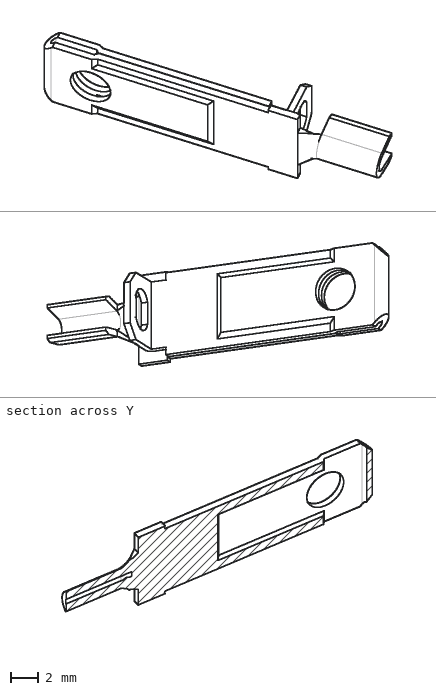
import cadquery as cq
import math

length = 26.67
body_half_width = 3.17
fold_thickness = 1.52
overall_depth = 5.0
sheet = 0.5
flat_half = 0.55
leaf_face = 0.013
fold_radius = fold_thickness / 2
gap_half = fold_radius - sheet
fold_chamfer = 0.9

nose_end = 4.03
pad_end = 13.68
pad_half_width = 5.05 / 2
pad_slope = 0.4
inner_slope = 0.25
cavity_inset = 0.21
hole_diameter = 3.2
hole_x = 3.95

shoulder_start = 18.03
front_leaf_end = 20.38
shoulder_half_width = 6.85 / 2

rear_body_end = 17.87
tab_outer_x = 19.58
tab_top = overall_depth - fold_radius
tab_half_width = 5.2 / 2
tab_chamfer = 1.01
tab_bend_radius = 0.5
slot_bottom = 1.2
slot_width = 2.0
slot_straight_half = 0.85
slot_half_length = 1.57

barrel_start = 21.87
barrel_top = 2.48
barrel_radius = 1.25
wall_lean = math.radians(9.5)
lip_chamfer_height = 0.5
lip_chamfer_depth = 0.173
neck_half_width = 1.87

barrel_inner_radius = barrel_radius - sheet
barrel_axis_y = barrel_radius - flat_half


def box(x_range, y_range, half_width):
    """Box between two X and two Y positions, centred on z = 0."""
    (x0, x1), (y0, y1) = x_range, y_range
    return cq.Workplane("XY").box(x1 - x0, y1 - y0, 2 * half_width).translate(
        ((x0 + x1) / 2, (y0 + y1) / 2, 0)
    )


def frustum(start, end, half_width, base_y, height, slope):
    """Raised block on +Y whose far end and sides slope in by `slope`; its start is upright."""

    def level(y, inset):
        x1, z1 = end - inset, half_width - inset
        corners = [(start, y, -z1), (x1, y, -z1), (x1, y, z1), (start, y, z1)]
        return cq.Wire.makePolygon([cq.Vector(*c) for c in corners], close=True)

    loft = cq.Solid.makeLoft([level(base_y, 0), level(base_y + height, slope)], True)
    return cq.Workplane(obj=loft)


def both_sides(shape):
    """The shape together with its mirror image across the fold plane."""
    return shape.union(shape.mirror("XZ"))


def nose_profile(half_height, foot_half_height, slope_start, slope_run):
    """Strip with one rounded end at the fold, tapering at the other end."""
    left = fold_radius - half_height
    slope_end = slope_start + slope_run
    return (
        cq.Workplane("XY")
        .moveTo(fold_radius, half_height)
        .threePointArc((left, 0), (fold_radius, -half_height))
        .lineTo(slope_start, -half_height)
        .lineTo(slope_end, -foot_half_height)
        .lineTo(slope_end, foot_half_height)
        .lineTo(slope_start, half_height)
        .close()
        .extrude(body_half_width, both=True)
    )


def folded_body():
    """Two leaves joined by the fold, with raised nose and pads, inner gap and hole."""
    leaves = box((fold_radius, rear_body_end), (-flat_half, flat_half), body_half_width)
    nose = nose_profile(fold_radius, flat_half, nose_end, pad_slope)
    pad = frustum(nose_end, pad_end, pad_half_width, flat_half, fold_radius - flat_half, pad_slope)
    body = leaves.union(nose).union(both_sides(pad))
    body = body.cut(fold_corners())

    body = body.cut(nose_profile(gap_half, leaf_face, nose_end, inner_slope))
    body = body.cut(box((nose_end, rear_body_end), (-leaf_face, leaf_face), body_half_width))
    cavity = frustum(
        nose_end, pad_end - cavity_inset, pad_half_width - cavity_inset, 0, gap_half, inner_slope
    )
    body = body.cut(both_sides(cavity))

    hole = (
        cq.Workplane("XZ").center(hole_x, 0).circle(hole_diameter / 2).extrude(fold_radius, both=True)
    )
    return body.cut(hole)


def fold_corners():
    """Triangular wedges that bevel the two corners of the fold end."""
    corner = (
        cq.Workplane("XZ")
        .moveTo(0, body_half_width)
        .lineTo(fold_chamfer, body_half_width)
        .lineTo(0, body_half_width - fold_chamfer)
        .close()
        .extrude(fold_radius, both=True)
    )
    return corner.union(corner.mirror("XY"))


def front_leaf():
    """Plain end of the front leaf with its wider shoulders."""
    leaf = box((rear_body_end, shoulder_start), (-flat_half, -leaf_face), body_half_width)
    shoulder = box((shoulder_start, front_leaf_end), (-flat_half, -leaf_face), shoulder_half_width)
    return leaf.union(shoulder)


def upright_tab():
    """Rear leaf narrowed and bent up square, with bevelled corners and a slot."""
    tab_inner_x = tab_outer_x - sheet
    foot = box((rear_body_end, tab_outer_x), (leaf_face, flat_half), tab_half_width)
    leg = box((tab_inner_x, tab_outer_x), (leaf_face, tab_top), tab_half_width)
    tab = (
        foot.union(leg)
        .edges("|Z and >X and <Y").fillet(tab_bend_radius)
        .edges("|X and >Y").chamfer(tab_chamfer)
    )
    slot_middle = slot_bottom + slot_width / 2
    slot_top = slot_bottom + slot_width
    slot = (
        cq.Workplane("YZ", origin=(tab_inner_x, 0, 0))
        .moveTo(slot_bottom, -slot_straight_half)
        .lineTo(slot_bottom, slot_straight_half)
        .threePointArc((slot_middle, slot_half_length), (slot_top, slot_straight_half))
        .lineTo(slot_top, -slot_straight_half)
        .threePointArc((slot_middle, -slot_half_length), (slot_bottom, -slot_straight_half))
        .close()
        .extrude(sheet)
    )
    return tab.cut(slot)


def wall_foot(radius):
    """(y, z) where an arc of the barrel runs into its leaning wall."""
    return barrel_axis_y - radius * math.sin(wall_lean), radius * math.cos(wall_lean)


def wall_z(radius, y):
    """Half width of the leaning wall at height y."""
    foot_y, foot_z = wall_foot(radius)
    return foot_z + (y - foot_y) * math.tan(wall_lean)


def barrel():
    """Open U-shaped crimp barrel with bevelled lips."""
    outer_y, outer_z = wall_foot(barrel_radius)
    inner_y, inner_z = wall_foot(barrel_inner_radius)
    lip_y = barrel_top - lip_chamfer_height
    lip_z = wall_z(barrel_radius, lip_y)
    tip_z = lip_z - lip_chamfer_depth
    tip_inner_z = wall_z(barrel_inner_radius, barrel_top)
    return (
        cq.Workplane("YZ", origin=(barrel_start, 0, 0))
        .moveTo(barrel_top, tip_z)
        .lineTo(lip_y, lip_z)
        .lineTo(outer_y, outer_z)
        .threePointArc((-flat_half, 0), (outer_y, -outer_z))
        .lineTo(lip_y, -lip_z)
        .lineTo(barrel_top, -tip_z)
        .lineTo(barrel_top, -tip_inner_z)
        .lineTo(inner_y, -inner_z)
        .threePointArc((sheet - flat_half, 0), (inner_y, inner_z))
        .lineTo(barrel_top, tip_inner_z)
        .close()
        .extrude(length - barrel_start)
    )


def neck():
    """Ruled transition from the flat front leaf to the round bottom of the barrel."""
    outer_y, outer_z = wall_foot(barrel_radius)
    inner_y, inner_z = wall_foot(barrel_inner_radius)
    return (
        cq.Workplane("YZ", origin=(front_leaf_end, 0, 0))
        .moveTo(-flat_half, neck_half_width)
        .lineTo(-flat_half, -neck_half_width)
        .lineTo(-leaf_face, -neck_half_width)
        .lineTo(-leaf_face, neck_half_width)
        .close()
        .workplane(offset=barrel_start - front_leaf_end)
        .moveTo(outer_y, outer_z)
        .threePointArc((-flat_half, 0), (outer_y, -outer_z))
        .lineTo(inner_y, -inner_z)
        .threePointArc((sheet - flat_half, 0), (inner_y, inner_z))
        .close()
        .loft(ruled=True)
    )


result = folded_body().union(front_leaf()).union(upright_tab()).union(neck()).union(barrel())